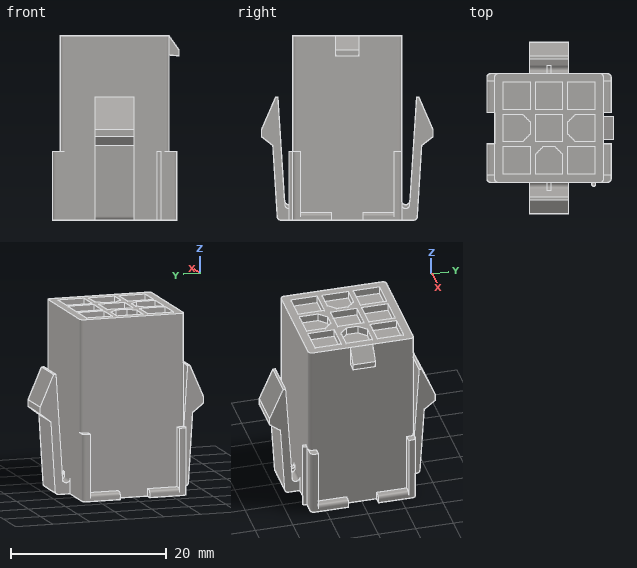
import cadquery as cq

height = 23.7
body_width = 14.0
edge_radius = 0.5
half_body = body_width / 2

cavity_width = 3.5
cavity_pitch = 4.15
cavity_depth = 1.0
key_chamfer = 1.0

flange_width = 16.0
post_height = 8.85
post_thickness = 1.0
post_radius = 0.52
ledge_height = 1.0
ledge_gap = 3.98
half_flange = flange_width / 2

latch_width = 5.05
latch_span = 22.06
latch_reach = latch_span / 2
latch_tip_height = 15.8
latch_tip_inner = 8.89
latch_tip_outer = 9.22
barb_top = 11.64
barb_bottom = 10.74
neck_reach = 9.57
neck_height = 9.6
foot_reach = 8.98
slot_radius = 0.5
slot_floor = 1.5
web_width = 0.52
web_rise = 0.52

hook_width = 2.99
overall_width = 16.3
hook_reach = overall_width - half_flange
hook_nose_top = 21.85
hook_nose_bottom = 21.1
hook_root_bottom = 21.2

rib_width = 0.52
rib_projection = 0.5
rib_x = 5.74


def box(x_range, y_range, z_range):
    """Axis-aligned block spanning the three given ranges."""
    sizes = [high - low for low, high in (x_range, y_range, z_range)]
    corner = (x_range[0], y_range[0], z_range[0])
    return cq.Workplane("XY").box(*sizes, centered=False).translate(corner)


def make_body():
    block = cq.Workplane("XY").rect(body_width, body_width).extrude(height)
    return block.edges("|Z").fillet(edge_radius)


def make_cavity(column, row):
    """Cavity cutter; those with a key have two corners chamfered on the side facing the centre."""
    key_edges = {(-1, 0): ">X", (1, 0): "<X", (0, -1): ">Y"}
    cutter = cq.Workplane("XY").rect(cavity_width, cavity_width).extrude(cavity_depth)
    if (column, row) in key_edges:
        cutter = cutter.faces(key_edges[(column, row)]).edges("|Z").chamfer(key_chamfer)
    return cutter.translate((column * cavity_pitch, row * cavity_pitch, height - cavity_depth))


def make_flange_quarter():
    """Corner post and ledge of the flange in the +X +Y quarter."""
    root = half_body - edge_radius
    post_inner = half_body - post_thickness
    post = box((root, half_flange), (post_inner, half_body), (0, post_height))
    post = post.edges("|Z and >X and >Y").fillet(post_radius)
    ledge = box((root, half_flange), (ledge_gap / 2, post_inner), (0, ledge_height))
    ledge = ledge.edges("|Y and >X and >Z").fillet(edge_radius)
    return post.union(ledge)


def make_slot_floor(width, floor):
    """Block between housing and latch arm with a round-bottomed trough in its top."""
    slot_centre = half_body + slot_radius
    trough_centre = floor + slot_radius
    profile = (
        cq.Workplane("YZ")
        .moveTo(half_body, 0)
        .lineTo(half_body, trough_centre)
        .threePointArc((slot_centre, floor), (slot_centre + slot_radius, trough_centre))
        .lineTo(slot_centre + slot_radius, 0)
        .close()
    )
    return profile.extrude(width / 2, both=True)


def make_latch():
    """Latch on the +Y side: a leaning arm with a barb, joined to the housing at its foot."""
    arm_inner = half_body + 2 * slot_radius
    arm = (
        cq.Workplane("YZ")
        .polyline([
            (arm_inner, 0),
            (foot_reach, 0),
            (neck_reach, neck_height),
            (latch_reach, barb_bottom),
            (latch_reach, barb_top),
            (latch_tip_outer, latch_tip_height),
            (latch_tip_inner, latch_tip_height),
            (arm_inner, slot_floor + slot_radius),
        ])
        .close()
        .extrude(latch_width / 2, both=True)
    )
    arm = arm.faces("<Z").edges(">Y").fillet(edge_radius)
    floor = make_slot_floor(latch_width, slot_floor)
    web = make_slot_floor(web_width, slot_floor + web_rise)
    return arm.union(floor).union(web)


def make_hook():
    return (
        cq.Workplane("XZ")
        .polyline([
            (half_body, height),
            (hook_reach, hook_nose_top),
            (hook_reach, hook_nose_bottom),
            (half_body, hook_root_bottom),
        ])
        .close()
        .extrude(hook_width / 2, both=True)
    )


def make_rib():
    """Vertical rib with a half-round outer edge."""
    radius = rib_width / 2
    outer = -half_body - rib_projection
    return (
        cq.Workplane("XY")
        .moveTo(rib_x - radius, -half_body)
        .lineTo(rib_x - radius, outer + radius)
        .threePointArc((rib_x, outer), (rib_x + radius, outer + radius))
        .lineTo(rib_x + radius, -half_body)
        .close()
        .extrude(post_height)
    )


result = make_body()

quarter = make_flange_quarter()
side = quarter.union(quarter.mirror("XZ"))
result = result.union(side).union(side.mirror("YZ"))

latch = make_latch()
result = result.union(latch).union(latch.mirror("XZ"))
result = result.union(make_hook()).union(make_rib())

for column in (-1, 0, 1):
    for row in (-1, 0, 1):
        result = result.cut(make_cavity(column, row))